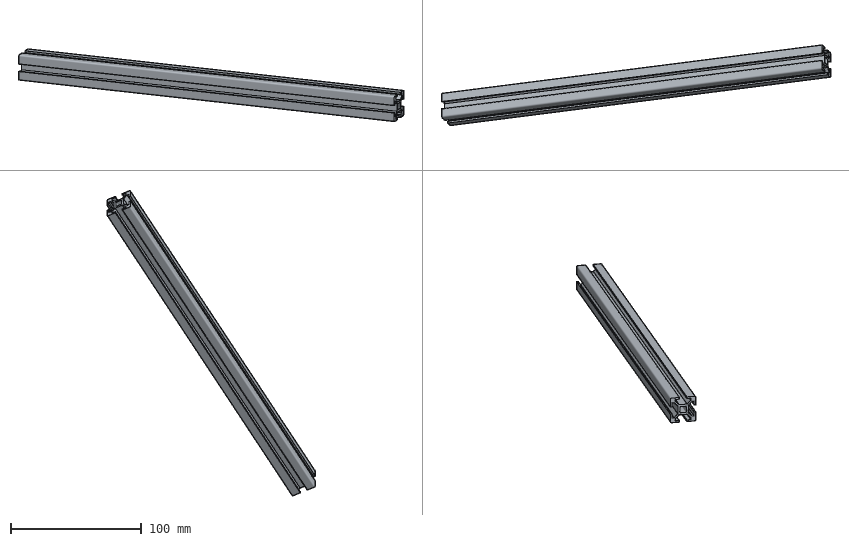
import cadquery as cq
import math

length = 310.0
width = 20.0
slot_opening = 6.0
lip_thickness = 1.4
corner_block = 4.0
corner_radius = 1.2
bore_corner_radius = 0.5
block_chamfer = 0.5
core_width = 8.5
bore_width = 5.0
web_thickness = 1.5

half_width = width / 2
lip_length = (width - slot_opening) / 2
web_reach = half_width - corner_block / 2


def bar(size_y, size_z, center_y=0.0, center_z=0.0):
    """Full-length rectangular bar centred at the given Y and Z."""
    return cq.Workplane("YZ").center(center_y, center_z).rect(size_y, size_z).extrude(length)


def corner():
    """Corner block with its two lips and rounded outer edge, at +Y +Z."""
    block_center = half_width - corner_block / 2
    lip_center = half_width - lip_length / 2
    lip_depth = half_width - lip_thickness / 2
    block = bar(corner_block, corner_block, block_center, block_center)
    block = block.edges("|X").edges("<(0, 1, 1)").chamfer(block_chamfer)
    top_lip = bar(lip_length, lip_thickness, lip_center, lip_depth)
    side_lip = bar(lip_thickness, lip_length, lip_depth, lip_center)
    body = block.union(top_lip).union(side_lip)
    return body.edges("|X").edges(">(0, 1, 1)").fillet(corner_radius)


def diagonal_web(angle):
    """Rib through the axis, ending inside two opposite corner blocks."""
    web_length = 2 * math.sqrt(2) * web_reach
    return bar(web_length, web_thickness).rotate((0, 0, 0), (1, 0, 0), angle)


profile = bar(core_width, core_width)
for angle in (45, 135):
    profile = profile.union(diagonal_web(angle))
for quarter in range(4):
    profile = profile.union(corner().rotate((0, 0, 0), (1, 0, 0), 90 * quarter))

bore = bar(bore_width, bore_width).edges("|X").fillet(bore_corner_radius)
profile = profile.cut(bore)
result = profile.translate((-length / 2, 0, 0))